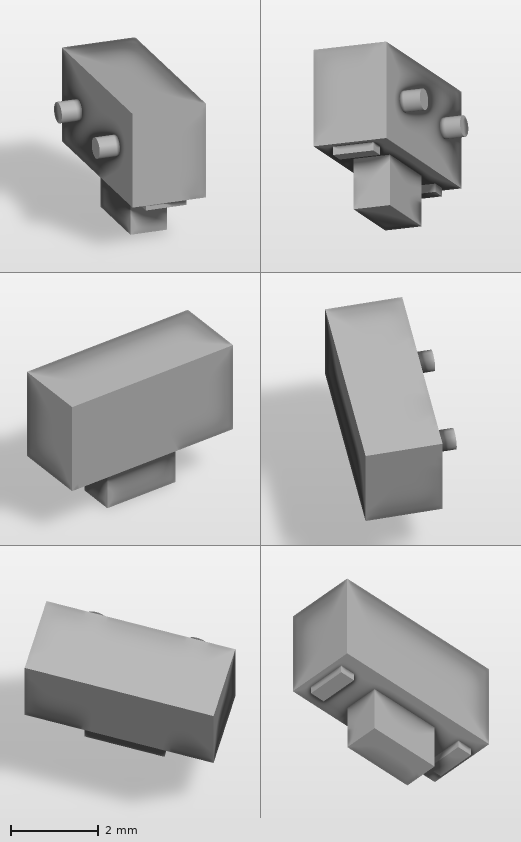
import cadquery as cq

body_length = 4.5
body_depth = 1.8
body_height = 2.3

peg_diameter = 0.5
peg_length = 0.5
peg_spacing = 2.4

actuator_length = 1.9
actuator_depth = 0.9
actuator_height = 1.2

foot_length = 0.4
foot_depth = 1.0
foot_height = 0.2
foot_spacing = 3.71

front_y = -body_depth / 2
bottom_z = -body_height / 2


def block_below(length, depth, height, x=0):
    """Rectangular block hanging from the underside of the body."""
    return cq.Workplane("XY", origin=(x, 0, bottom_z)).rect(length, depth).extrude(-height)


def peg(x):
    """Round peg standing out of the -Y face at mid height."""
    return cq.Workplane("XZ", origin=(x, front_y, 0)).circle(peg_diameter / 2).extrude(peg_length)


result = cq.Workplane("XY").box(body_length, body_depth, body_height)
result = result.union(block_below(actuator_length, actuator_depth, actuator_height))

for side in (-1, 1):
    result = result.union(peg(side * peg_spacing / 2))
    result = result.union(block_below(foot_length, foot_depth, foot_height, side * foot_spacing / 2))